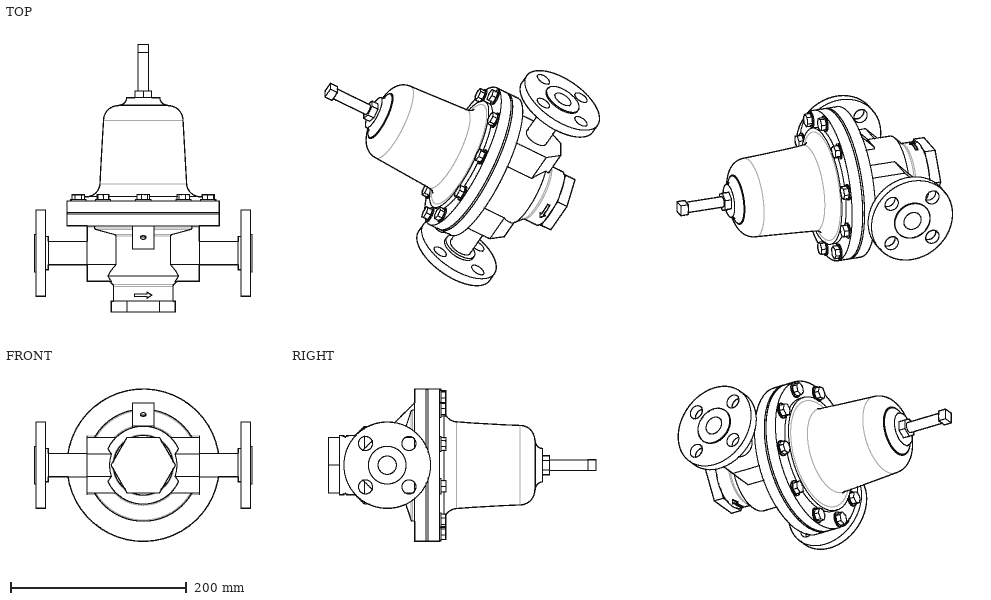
import cadquery as cq
import math


stem_end_level = 237.6
overall_length = 304.48
cap_front_level = stem_end_level - overall_length
crown_level = 176.9
flange_back_level = 59.5
flange_front_level = 31.2
cap_back_level = -54.5

stem_diameter = 12.2
stem_square_side = 12.5
stem_square_length = 9.4
nut_across_flats = 19.05
nut_thickness = 7.9

crown_radius = 19.1
crown_fillet = 8.2
dome_start_radius = 28.4
dome_radius = 45.4
dome_base_level = 151.0
dome_round = dome_radius - dome_start_radius
skirt_radius = 49.5
skirt_base_level = 78.8
flare_end_radius = 62.5
pad_radius = 67.0
pad_level = 64.5

flange_radius = 173.69 / 2
diaphragm_radius = flange_radius - 0.2
diaphragm_back_level = 46.6
diaphragm_front_level = 44.4

bolt_count = 10
bolt_circle_radius = 77.8
bolt_across_flats = 12.7
bolt_head_height = 5.7
washer_diameter = 17.5
washer_thickness = 1.4
bolt_twist = 180 / bolt_count

shoulder_radius = 63.8
shoulder_level = 27.5
shoulder_round = 2.0
barrel_radius = 44.3
barrel_back_level = 20.9
barrel_front_level = -26.1
neck_radius = 33.9
neck_back_level = barrel_front_level - (barrel_radius - neck_radius)
barrel_fillet = 2.0
neck_fillet = 3.0
cap_across_flats = 63.5

block_half_length = 63.9
block_half_height = 31.7
block_front_level = -32.1
block_chamfer = 19.1
block_root_fillet = 1.6

lug_width = 25.0
lug_outer_height = 71.0
lug_size = 26.6
lug_hole_diameter = 6.0
lug_hole_depth = 3.5

overall_width = 247.75
pipe_end = overall_width / 2
pipe_diameter = 26.7
bore_diameter = 20.9
pipe_flange_diameter = 98.6
raised_face_diameter = 42.9
raised_face_height = 1.6
pipe_flange_thickness = 11.1
hub_diameter = 38.1
hub_height = 3.2
pipe_hole_count = 4
pipe_hole_diameter = 16.0
pipe_hole_circle = 69.9

arrow_level = -47.7
arrow_start = -9.8
arrow_head_start = 4.0
arrow_tip = 9.8
arrow_shaft_half_width = 1.4
arrow_head_half_width = 3.6
arrow_depth = 1.0


def level_plane(level):
    """Plane across the main axis; its normal points along +Y and its local y along +Z."""
    return cq.Workplane(cq.Plane(origin=(0, level, 0), xDir=(-1, 0, 0), normal=(0, 1, 0)))


def hexagon_diameter(across_flats):
    return across_flats / math.cos(math.pi / 6)


def disc(level_start, level_end, radius):
    return level_plane(level_start).circle(radius).extrude(level_end - level_start)


def hexagon(level, thickness, across_flats, angle=0):
    """Hexagonal prism on the main axis; at angle 0 its corners lie on the X axis."""
    prism = level_plane(level).polygon(6, hexagon_diameter(across_flats)).extrude(thickness)
    return prism.rotate((0, 0, 0), (0, 1, 0), angle)


def arc_middle(center, radius, degrees):
    """Point on a circle, used as the middle point of a quarter arc."""
    angle = math.radians(degrees)
    return center[0] + radius * math.cos(angle), center[1] + radius * math.sin(angle)


def make_stem():
    rod = disc(crown_level, stem_end_level, stem_diameter / 2)
    square_start = stem_end_level - stem_square_length
    square = level_plane(square_start).rect(stem_square_side, stem_square_side).extrude(stem_square_length)
    nut = hexagon(crown_level, nut_thickness, nut_across_flats, 30)
    return rod.union(square).union(nut)


def make_bonnet():
    crown_center = (crown_radius + crown_fillet, crown_level)
    dome_center = (dome_start_radius, dome_base_level)
    flare_center = (flare_end_radius, skirt_base_level)
    flare_round = flare_end_radius - skirt_radius
    profile = (
        cq.Workplane("XY")
        .moveTo(0, flange_back_level)
        .lineTo(0, crown_level)
        .lineTo(crown_radius, crown_level)
        .threePointArc(
            arc_middle(crown_center, crown_fillet, 225),
            (crown_radius + crown_fillet, crown_level - crown_fillet),
        )
        .lineTo(dome_start_radius, dome_base_level + dome_round)
        .threePointArc(arc_middle(dome_center, dome_round, 45), (dome_radius, dome_base_level))
        .lineTo(skirt_radius, skirt_base_level)
        .threePointArc(arc_middle(flare_center, flare_round, 225), (flare_end_radius, pad_level))
        .lineTo(pad_radius, pad_level)
        .lineTo(pad_radius, flange_back_level)
        .close()
    )
    return profile.revolve(360, (0, 0, 0), (0, 1, 0))


def make_flanges():
    back = disc(diaphragm_back_level, flange_back_level, flange_radius)
    diaphragm = disc(diaphragm_front_level, diaphragm_back_level, diaphragm_radius)
    front = disc(flange_front_level, diaphragm_front_level, flange_radius)
    return back.union(diaphragm).union(front)


def make_bolts():
    bolt = disc(flange_back_level, flange_back_level + washer_thickness, washer_diameter / 2)
    head = hexagon(flange_back_level + washer_thickness, bolt_head_height, bolt_across_flats, -bolt_twist)
    bolt = bolt.union(head).translate((bolt_circle_radius, 0, 0))
    bolts = cq.Workplane("XY")
    for index in range(bolt_count):
        angle = 90 + index * 360 / bolt_count
        bolts = bolts.add(bolt.rotate((0, 0, 0), (0, 1, 0), angle).val())
    return bolts.combine()


def make_blocks():
    """Inlet and outlet block in one bar, with rounded roots against the flange."""
    root_level = flange_front_level - block_root_fillet
    root_height = block_half_height + block_root_fillet
    nose_half_height = block_half_height - block_chamfer
    chamfer_level = block_front_level + block_chamfer
    root_center = (root_level, root_height)
    root_middle = arc_middle(root_center, block_root_fillet, -45)
    upper_half = (
        cq.Workplane("YZ")
        .moveTo(block_front_level, 0)
        .lineTo(block_front_level, nose_half_height)
        .lineTo(chamfer_level, block_half_height)
        .lineTo(root_level, block_half_height)
        .threePointArc(root_middle, (flange_front_level, root_height))
        .lineTo(flange_front_level, 0)
        .close()
        .extrude(block_half_length, both=True)
    )
    return upper_half.union(upper_half.mirror("XY"))


def round_at_level(solid, level, radius):
    """Round the circular edge that lies at one level of a turned solid."""
    reach = flange_radius
    tolerance = 0.1
    slab = cq.selectors.BoxSelector((-reach, level - tolerance, -reach), (reach, level + tolerance, reach))
    return solid.edges(slab).edges("%CIRCLE").fillet(radius)


def make_barrel():
    profile = (
        cq.Workplane("XY")
        .moveTo(0, flange_front_level)
        .lineTo(shoulder_radius, flange_front_level)
        .lineTo(shoulder_radius, shoulder_level)
        .lineTo(barrel_radius, barrel_back_level)
        .lineTo(barrel_radius, barrel_front_level)
        .lineTo(neck_radius, neck_back_level)
        .lineTo(neck_radius, cap_back_level)
        .lineTo(0, cap_back_level)
        .close()
    )
    cap = hexagon(cap_front_level, cap_back_level - cap_front_level, cap_across_flats)
    barrel = profile.revolve(360, (0, 0, 0), (0, 1, 0))
    barrel = round_at_level(barrel, shoulder_level, shoulder_round)
    barrel = round_at_level(barrel, barrel_back_level, barrel_fillet)
    barrel = round_at_level(barrel, neck_back_level, neck_fillet)
    return barrel.union(cap)


def make_lug():
    lug_inner_height = lug_outer_height - lug_size
    nose_level = flange_front_level - lug_size
    wedge = (
        cq.Workplane("YZ")
        .moveTo(flange_front_level, 0)
        .lineTo(flange_front_level, lug_outer_height)
        .lineTo(nose_level, lug_inner_height)
        .lineTo(nose_level, 0)
        .close()
        .extrude(lug_width / 2, both=True)
    )
    face_center = (0, flange_front_level - lug_size / 2, lug_outer_height - lug_size / 2)
    hole_plane = cq.Plane(origin=face_center, xDir=(1, 0, 0), normal=(0, -1, 1))
    hole = cq.Workplane(hole_plane).circle(lug_hole_diameter / 2).extrude(-lug_hole_depth)
    return wedge.cut(hole)


def make_pipe():
    """Pipe stub with its bolting flange on the +X side; the bore stops at the block."""
    flange_face = pipe_end - raised_face_height
    flange_back = flange_face - pipe_flange_thickness

    def ring(start, end, diameter):
        return cq.Workplane("YZ", origin=(start, 0, 0)).circle(diameter / 2).extrude(end - start)

    pipe = ring(block_half_length, pipe_end, pipe_diameter)
    pipe = pipe.union(ring(flange_back - hub_height, flange_back, hub_diameter))
    pipe = pipe.union(ring(flange_back, flange_face, pipe_flange_diameter))
    pipe = pipe.union(ring(flange_face, pipe_end, raised_face_diameter))
    pipe = pipe.cut(ring(block_half_length, pipe_end, bore_diameter))
    bolt_holes = (
        cq.Workplane("YZ", origin=(flange_back, 0, 0))
        .polarArray(pipe_hole_circle / 2, 180 / pipe_hole_count, 360, pipe_hole_count)
        .circle(pipe_hole_diameter / 2)
        .extrude(pipe_flange_thickness)
    )
    return pipe.cut(bolt_holes)


def make_flow_arrow():
    """Groove tool pointing along +X, cutting into the top of the neck."""
    arrow = (
        cq.Workplane("XY", origin=(0, arrow_level, 0))
        .moveTo(arrow_start, -arrow_shaft_half_width)
        .lineTo(arrow_head_start, -arrow_shaft_half_width)
        .lineTo(arrow_head_start, -arrow_head_half_width)
        .lineTo(arrow_tip, 0)
        .lineTo(arrow_head_start, arrow_head_half_width)
        .lineTo(arrow_head_start, arrow_shaft_half_width)
        .lineTo(arrow_start, arrow_shaft_half_width)
        .close()
        .extrude(neck_radius)
    )
    return arrow.cut(disc(cap_back_level, neck_back_level, neck_radius - arrow_depth))


body = make_barrel().union(make_blocks()).union(make_lug())
arrow = make_flow_arrow()
body = body.cut(arrow).cut(arrow.mirror("XY"))

pipe = make_pipe()
result = (
    make_bonnet()
    .union(make_stem())
    .union(make_flanges())
    .union(make_bolts())
    .union(body)
    .union(pipe)
    .union(pipe.mirror("YZ"))
)